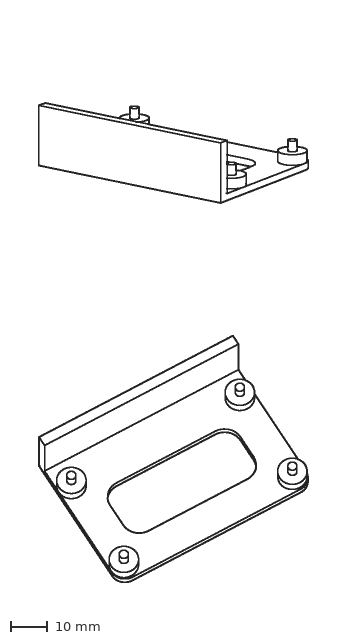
import cadquery as cq

plate_width = 61.0
plate_depth = 43.0
plate_thickness = 2.0
rear_corner_radius = 4.0

wall_height = 17.0
wall_thickness = 3.0

window_side_margin = 10.0
window_rear_margin = 10.0
window_depth = 17.0
window_corner_radius = 5.0

boss_diameter = 8.0
boss_height = 3.0
pin_diameter = 2.5
pin_height = 3.0
standoff_rear_margin = 4.5
standoff_spacing_y = 28.0

center_x = plate_width / 2
window_width = plate_width - 2 * window_side_margin
window_center_y = plate_depth - window_rear_margin - window_depth / 2
standoff_spacing_x = plate_width - boss_diameter
standoff_center_y = plate_depth - standoff_rear_margin - standoff_spacing_y / 2
boss_top = plate_thickness + boss_height


def make_plate():
    """Flat plate with its two rear corners rounded."""
    plate = cq.Workplane("XY").box(plate_width, plate_depth, plate_thickness, centered=False)
    return plate.edges("|Z and >Y").fillet(rear_corner_radius)


def make_wall():
    """Full-width wall rising from the underside of the plate."""
    return cq.Workplane("XY").box(plate_width, wall_thickness, wall_height, centered=False)


def make_window():
    """Rounded rectangular cutter for the plate window."""
    block = cq.Workplane("XY").center(center_x, window_center_y).rect(window_width, window_depth)
    return block.extrude(plate_thickness).edges("|Z").fillet(window_corner_radius)


def make_standoff_cylinders(diameter, bottom, top):
    """Four equal cylinders on the standoff pattern, between two heights."""
    return (
        cq.Workplane("XY", origin=(center_x, standoff_center_y, bottom))
        .rarray(standoff_spacing_x, standoff_spacing_y, 2, 2)
        .circle(diameter / 2)
        .extrude(top - bottom)
    )


bosses = make_standoff_cylinders(boss_diameter, plate_thickness, boss_top)
pins = make_standoff_cylinders(pin_diameter, plate_thickness, boss_top + pin_height)

result = make_plate().union(make_wall()).cut(make_window()).union(bosses).union(pins)